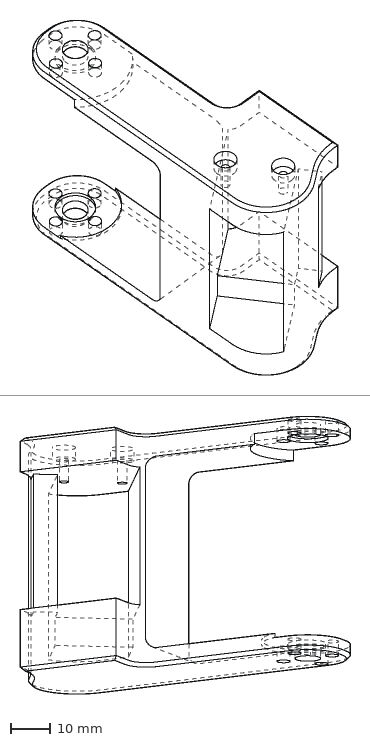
import cadquery as cq
import math

height = 61.0
neck_y = 33.7
edge_chamfer = 1.0

arm_width = 22.0
tip_radius = 10.0
neck_left_x = 53.8
neck_right_x = 82.0
neck_left_radius = 5.0
neck_right_radius = 15.0
nose_radius = 12.45
nose_x = 89.6 - nose_radius

lower_arm = 4.75
upper_arm = 6.2
web_x = 51.4
web_fillet = 3.0

joint_x = 10.7
joint_y = 10.7
lower_pad = 3.7
upper_pad = 3.4
lower_pad_radius = 11.8
upper_pad_radius = 14.7
shaft_diameter = 6.5
shaft_recess_diameter = 10.4
shaft_recess_depth = 1.0
joint_screw_diameter = 3.3
joint_screw_circle_radius = 7.1
joint_screw_count = 4

skew = 35
wall_thickness = 6.2
slot_width = 20.0
wall_end_v = -21.8
ledge_v = -27.8
floor_z = 8.7
ledge_z = 16.0
roof_thickness = 9.0
roof_z = height - roof_thickness

overcut = 0.9
cut_reach = 107.5

screw_v = -30.2
screw_spacing = 15.0
screw_diameter = 2.3
screw_head_diameter = 5.9
screw_head_depth = 3.05

skew_cos = math.cos(math.radians(skew))
skew_sin = math.sin(math.radians(skew))
flank_u = nose_x * skew_cos + nose_radius * skew_sin + nose_radius
wall_u = flank_u - wall_thickness
web_u = wall_u - slot_width


def flank_y(x):
    """Y of the flank plane at a given X."""
    return (flank_u - x * skew_cos) / skew_sin


def skewed_block(u_start, u_end, v_start, v_end, z_start, z_end):
    """Block in the frame turned by skew about Z."""
    block = cq.Workplane("XY").box(
        u_end - u_start, v_end - v_start, z_end - z_start, centered=False
    )
    block = block.translate((u_start, v_start, z_start))
    return block.rotate((0, 0, 0), (0, 0, 1), skew)


def cylinder(x, y, z_start, z_end, diameter):
    """Upright cylinder between two heights."""
    return cq.Workplane("XY", origin=(x, y, z_start)).circle(diameter / 2).extrude(z_end - z_start)


def rounded_corner(solid, x, y, radius):
    """Round the single vertical edge standing at (x, y)."""
    tolerance = 0.01
    corner = cq.selectors.BoxSelector(
        (x - tolerance, y - tolerance, 0), (x + tolerance, y + tolerance, height)
    )
    return solid.edges("|Z").edges(corner).fillet(radius)


def make_body():
    """Solid outline of the bracket with chamfered rims."""
    nose_corner_x = flank_u / skew_cos
    shoulder_y = flank_y(neck_right_x)
    corners = [
        (0, 0, tip_radius),
        (nose_corner_x, 0, nose_radius),
        (neck_right_x, shoulder_y, neck_right_radius),
        (neck_right_x, neck_y, 0),
        (neck_left_x, neck_y, 0),
        (neck_left_x, arm_width, neck_left_radius),
        (0, arm_width, tip_radius),
    ]
    body = cq.Workplane("XY").polyline([(x, y) for x, y, _ in corners]).close().extrude(height)
    for x, y, radius in corners:
        if radius > 0:
            body = rounded_corner(body, x, y, radius)
    return body.faces("<Z or >Z").edges().chamfer(edge_chamfer)


def cut_arm_gap(body):
    """Open the space between the arms, rounded where it meets the web."""
    gap_height = height - lower_arm - upper_arm
    gap = cq.Workplane("XY").box(web_x + overcut, neck_y + 2 * overcut, gap_height, centered=False)
    gap = gap.translate((-overcut, -overcut, lower_arm)).edges(">X and |Y").fillet(web_fillet)
    return body.cut(gap)


def cut_joint_pads(body):
    """Thin the arm tips to round pads and drill the joint holes."""
    middle_z = height / 2
    upper_pad_z = height - upper_pad
    body = body.cut(cylinder(joint_x, joint_y, lower_pad, middle_z, 2 * lower_pad_radius))
    body = body.cut(cylinder(joint_x, joint_y, middle_z, upper_pad_z, 2 * upper_pad_radius))
    body = body.cut(cylinder(joint_x, joint_y, 0, height, shaft_diameter))
    recess_floor_z = lower_pad - shaft_recess_depth
    recess_roof_z = upper_pad_z + shaft_recess_depth
    body = body.cut(cylinder(joint_x, joint_y, recess_floor_z, recess_roof_z, shaft_recess_diameter))
    screws = (
        cq.Workplane("XY", origin=(joint_x, joint_y, 0))
        .polarArray(joint_screw_circle_radius, 0, 360, joint_screw_count)
        .circle(joint_screw_diameter / 2)
        .extrude(height)
    )
    return body.cut(screws)


def cut_cavity(body):
    """Cut the skewed slot, leaving a flat outer wall that stops short of the neck."""
    body = body.cut(skewed_block(web_u, wall_u, -cut_reach, ledge_v, floor_z, roof_z))
    body = body.cut(skewed_block(web_u, wall_u, ledge_v, cut_reach, ledge_z, roof_z))
    body = body.cut(skewed_block(wall_u, cut_reach, wall_end_v, cut_reach, ledge_z, roof_z))
    return body.cut(skewed_block(flank_u, cut_reach, ledge_v, cut_reach, ledge_z, roof_z))


def cut_roof_screws(body):
    """Counterbored holes spread across the slot, from the top into the cavity."""
    slot_middle_u = (web_u + wall_u) / 2
    for side in (-1, 1):
        u = slot_middle_u + side * screw_spacing / 2
        x = u * skew_cos - screw_v * skew_sin
        y = u * skew_sin + screw_v * skew_cos
        body = body.cut(cylinder(x, y, roof_z - overcut, height, screw_diameter))
        body = body.cut(cylinder(x, y, height - screw_head_depth, height, screw_head_diameter))
    return body


result = make_body()
result = cut_arm_gap(result)
result = cut_joint_pads(result)
result = cut_cavity(result)
result = cut_roof_screws(result)